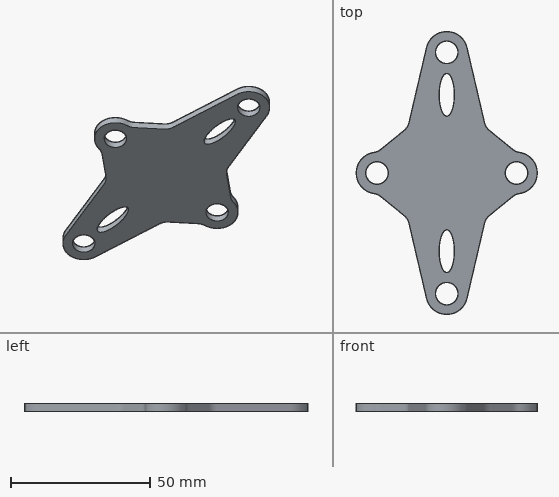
import cadquery as cq
import math

length = 101.7
width = 65.12
thickness = 3.0

end_radius = 7.5
hole_diameter = 8.0
long_hole_offset = length / 2 - end_radius
short_hole_offset = width / 2 - end_radius
hole_centers = [
    (short_hole_offset, 0),
    (-short_hole_offset, 0),
    (0, long_hole_offset),
    (0, -long_hole_offset),
]

waist_x = 14.0
waist_y = 16.4
short_arm_angle = 39.2
corner_radius = 5.0

ellipse_offset = 28.1
ellipse_half_length = 7.65
ellipse_half_width = 2.7


def tangent_point():
    """Point where the side from the waist corner touches the long arm's round end."""
    reach = long_hole_offset - waist_y
    distance = math.hypot(waist_x, reach)
    lean = math.atan2(waist_x, reach) - math.asin(end_radius / distance)
    return (end_radius * math.cos(lean), long_hole_offset + end_radius * math.sin(lean))


def short_arm_point():
    """Point on the short arm side level with the short arm's hole."""
    drop = (short_hole_offset - waist_x) * math.tan(math.radians(short_arm_angle))
    return (short_hole_offset, waist_y - drop)


def is_inside_corner(edge):
    """True for the vertical edges at the waist and beside the short round ends."""
    nearest_y = end_radius / 2
    farthest_y = (waist_y + long_hole_offset) / 2
    return nearest_y < abs(edge.Center().y) < farthest_y


def make_plate():
    """Four-armed outline with round ends and rounded inside corners."""
    quarter = [short_arm_point(), (waist_x, waist_y), tangent_point()]
    right_side = [(x, -y) for x, y in reversed(quarter)] + quarter
    left_side = [(-x, -y) for x, y in right_side]
    plate = cq.Workplane("XY").polyline(right_side + left_side).close().extrude(thickness)
    ends = cq.Workplane("XY").pushPoints(hole_centers).circle(end_radius).extrude(thickness)
    plate = plate.union(ends)
    return plate.edges("|Z").filter(is_inside_corner).fillet(corner_radius)


def cut_holes(plate):
    """Mounting hole through each round end."""
    holes = cq.Workplane("XY").pushPoints(hole_centers).circle(hole_diameter / 2).extrude(thickness)
    return plate.cut(holes)


def cut_ellipses(plate):
    """Elliptical opening through each long arm."""
    openings = (
        cq.Workplane("XY")
        .pushPoints([(0, ellipse_offset), (0, -ellipse_offset)])
        .ellipse(ellipse_half_width, ellipse_half_length)
        .extrude(thickness)
    )
    return plate.cut(openings)


result = cut_ellipses(cut_holes(make_plate()))